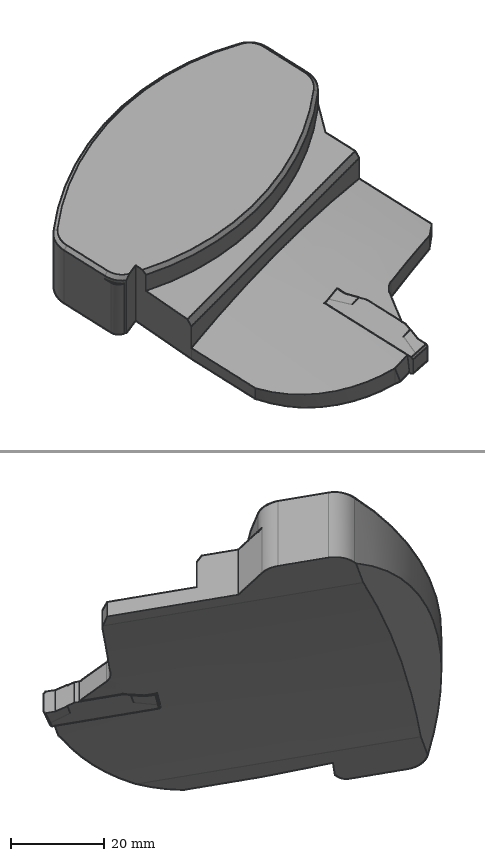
import cadquery as cq
import math

head_width = 40.0
head_length = 70.0
head_height = 19.52
bulge_radius = 60.0
head_corner_radius = 6.0
head_chamfer = 0.9
undercut_height = 9.1
lower_head_height = 17.56
lower_corner_radius = 2.6

shoulder_height = 13.0
shoulder_right = 25.15
shoulder_chamfer_x = 1.1
shoulder_chamfer_z = 1.6
shoulder_back = 28.1
shoulder_front = -29.9
back_flank_angle = 50.0

notch_root = (9.42, -29.2)
notch_wall_lean = 8.0
notch_wall_reach = head_length / 2 + notch_root[1]
notch_wall_end_x = notch_root[0] + notch_wall_reach * math.tan(math.radians(notch_wall_lean))

blade_top_apex = 7.04
blade_top_edge = 3.82
blade_chamfer_start = (44.9, shoulder_back)
blade_chamfer_end = (46.8, 24.95)
blade_throat = (49.2, 7.25)
blade_throat_radius = 3.5
blade_seat_back_x = 57.6
blade_arc_start = (64.1, -9.0)
blade_arc_middle = (57.6, -20.6)
blade_arc_end = (42.6, shoulder_front)
blade_nose_bottom_x = 64.8
blade_nose_top_x = 64.1
blade_nose_y = -7.5

hollow_half_width = 25.5
hollow_rise = 1.43

insert_middle_x = 53.4
insert_tip_x = 65.93
insert_middle_z = 4.13
insert_thickness = 5.9
insert_front = -4.6
insert_back = 1.7
insert_tip_y = 0.1
insert_back_half = 5.3
insert_shoulder_half = 9.9
insert_end_relief = 0.3
insert_tip_half = insert_tip_x - insert_middle_x
insert_front_half = insert_tip_half - insert_end_relief
tip_rise = 0.18
insert_end_chamfer = 0.45
tip_pad_inner = (7.0, -1.27)
tip_pad_outer = (insert_front_half, -3.4)


def arch_radius(half_width, rise):
    """Radius of an arc from its half chord and its rise."""
    return (half_width ** 2 + rise ** 2) / (2 * rise)


def make_barrel():
    half_width = head_width / 2
    half_length = head_length / 2
    arc_centre = bulge_radius - half_width
    end_half = math.sqrt(bulge_radius ** 2 - half_length ** 2) - arc_centre
    barrel = (
        cq.Workplane("XY")
        .moveTo(-end_half, half_length)
        .lineTo(end_half, half_length)
        .threePointArc((half_width, 0), (end_half, -half_length))
        .lineTo(-end_half, -half_length)
        .threePointArc((-half_width, 0), (-end_half, half_length))
        .close()
        .extrude(head_height)
    )
    return barrel.edges("|Z").fillet(head_corner_radius).faces(">Z").chamfer(head_chamfer)


def make_notch():
    half_length = head_length / 2
    return (
        cq.Workplane("XY")
        .polyline([
            notch_root,
            (shoulder_right, shoulder_front),
            (shoulder_right, -half_length),
            (notch_wall_end_x, -half_length),
        ])
        .close()
        .extrude(head_height)
    )


def make_front_corner():
    half_length = head_length / 2
    return (
        cq.Workplane("XY")
        .polyline([
            (0, notch_root[1]),
            notch_root,
            (notch_wall_end_x, -half_length),
            (0, -half_length),
        ])
        .close()
        .extrude(lower_head_height)
        .edges("|Z and >X and <Y")
        .fillet(lower_corner_radius)
    )


def back_flank_points():
    """Ends of the slanted back side, which leaves the head's corner round tangentially."""
    half_length = head_length / 2
    round_y = half_length - head_corner_radius
    arc_centre = bulge_radius - head_width / 2
    round_x = math.sqrt((bulge_radius - head_corner_radius) ** 2 - round_y ** 2) - arc_centre
    angle = math.radians(back_flank_angle)
    start_x = round_x + head_corner_radius * math.cos(angle)
    start_y = round_y + head_corner_radius * math.sin(angle)
    end_x = start_x + (start_y - shoulder_back) * math.tan(angle)
    return (start_x, start_y), (end_x, shoulder_back)


def make_shoulder():
    flank_start, flank_end = back_flank_points()
    shoulder = (
        cq.Workplane("XY")
        .polyline([
            (0, notch_root[1]),
            notch_root,
            (shoulder_right, shoulder_front),
            (shoulder_right, shoulder_back),
            flank_end,
            flank_start,
            (0, flank_start[1]),
        ])
        .close()
        .extrude(shoulder_height)
    )
    chamfer_cut = (
        cq.Workplane("XZ", origin=(0, shoulder_back, 0))
        .polyline([
            (shoulder_right, shoulder_height - shoulder_chamfer_z),
            (shoulder_right, shoulder_height),
            (shoulder_right - shoulder_chamfer_x, shoulder_height),
        ])
        .close()
        .extrude(shoulder_back - shoulder_front)
    )
    return shoulder.cut(chamfer_cut)


def make_blade():
    outline = (
        cq.Workplane("XY")
        .moveTo(shoulder_right, shoulder_front)
        .lineTo(*blade_arc_end)
        .threePointArc(blade_arc_middle, blade_arc_start)
        .lineTo(blade_nose_bottom_x, blade_nose_y)
        .lineTo(blade_nose_bottom_x, insert_front)
        .lineTo(blade_seat_back_x, insert_back)
        .lineTo(*blade_throat)
        .lineTo(*blade_chamfer_end)
        .lineTo(*blade_chamfer_start)
        .lineTo(shoulder_right, shoulder_back)
        .close()
        .extrude(shoulder_height)
    )
    throat_edge = cq.selectors.NearestToPointSelector((*blade_throat, shoulder_height / 2))
    outline = outline.edges("|Z").edges(throat_edge).fillet(blade_throat_radius)

    top_radius = arch_radius(-shoulder_front, blade_top_apex - blade_top_edge)
    top_cylinder = (
        cq.Workplane("YZ")
        .center(0, blade_top_apex - top_radius)
        .circle(top_radius)
        .extrude(blade_nose_bottom_x)
    )
    nose_cut = (
        cq.Workplane("XZ")
        .polyline([
            (blade_nose_bottom_x, 0),
            (blade_nose_top_x, blade_top_apex),
            (blade_nose_bottom_x, blade_top_apex),
        ])
        .close()
        .extrude(-blade_arc_start[1])
    )
    return outline.intersect(top_cylinder).cut(nose_cut)


def make_hollow():
    radius = arch_radius(hollow_half_width, hollow_rise)
    return (
        cq.Workplane("YZ", origin=(-head_width, 0, 0))
        .center(0, hollow_rise - radius)
        .circle(radius)
        .extrude(head_width + blade_nose_bottom_x)
    )


def make_undercut():
    return (
        cq.Workplane("XZ")
        .polyline([
            (-head_width / 2, 0),
            (-head_width / 2, undercut_height),
            (-head_width / 2 + undercut_height, 0),
        ])
        .close()
        .extrude(head_length / 2, both=True)
    )


def make_holder(insert):
    head = make_barrel().cut(make_notch()).union(make_front_corner())
    holder = head.union(make_shoulder()).union(make_blade())
    return holder.cut(make_undercut()).cut(make_hollow()).cut(insert)


def make_tip_pad():
    """Raised sloping pad on the top face of the insert's +X end, about the insert's middle."""
    footprint = (
        cq.Workplane("XY")
        .polyline([
            tip_pad_inner,
            tip_pad_outer,
            (insert_tip_half, insert_tip_y),
            (insert_shoulder_half, insert_tip_y),
            (tip_pad_inner[0], back_edge_y(tip_pad_inner[0])),
        ])
        .close()
        .extrude(insert_thickness)
    )
    fold = cq.Vector(tip_pad_outer[0] - tip_pad_inner[0], tip_pad_outer[1] - tip_pad_inner[1], 0)
    across = cq.Vector(0, 0, 1).cross(fold).normalized()
    tip_offset = cq.Vector(insert_tip_half - tip_pad_inner[0], insert_tip_y - tip_pad_inner[1], 0)
    slope = tip_rise / tip_offset.dot(across)
    reach = insert_tip_half
    face = insert_thickness / 2
    slope_plane = cq.Plane(origin=(*tip_pad_inner, face), xDir=across, normal=fold)
    wedge = (
        cq.Workplane(slope_plane)
        .polyline([(0, 0), (reach, reach * slope), (reach, -face), (0, -face)])
        .close()
        .extrude(reach, both=True)
    )
    return footprint.intersect(wedge)


def back_edge_y(x):
    """Y of the slanted back edge of the insert at a distance x from its middle."""
    share = (x - insert_back_half) / (insert_shoulder_half - insert_back_half)
    return insert_back + share * (insert_tip_y - insert_back)


def make_insert():
    right_side = [
        (insert_back_half, insert_back),
        (insert_shoulder_half, insert_tip_y),
        (insert_tip_half, insert_tip_y),
        (insert_front_half, insert_front),
    ]
    left_side = [(-x, y) for x, y in reversed(right_side)]
    insert = (
        cq.Workplane("XY")
        .polyline(right_side + left_side)
        .close()
        .extrude(insert_thickness / 2, both=True)
    )
    top_right_pad = make_tip_pad()
    for pad in (top_right_pad, top_right_pad.mirror("XY")):
        insert = insert.union(pad).union(pad.mirror("YZ"))
    for end_x in (-insert_tip_half, insert_tip_half):
        end_face = cq.selectors.NearestToPointSelector((end_x, insert_front / 2, 0))
        insert = insert.faces(end_face).edges("not |Z").chamfer(insert_end_chamfer)
    return insert.translate((insert_middle_x, 0, insert_middle_z))


insert = make_insert()
holder = make_holder(insert)

result = cq.Compound.makeCompound([holder.solids().val(), insert.solids().val()])